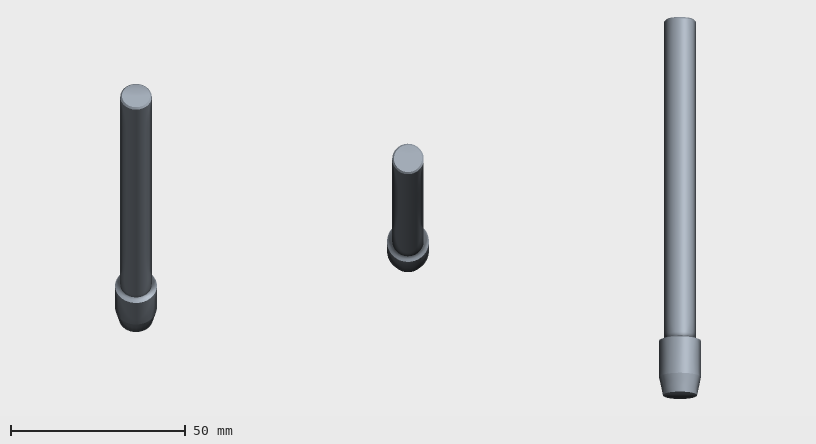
import cadquery as cq

total_length = 110.0

sleeve_diameter = 12.0
sleeve_length = 16.6
nose_tip_diameter = 9.8
nose_length = 5.3
shoulder_height = 0.7

rod_diameter = 9.0
rod_chamfer = 0.5
rod_length = total_length - sleeve_length


def make_sleeve():
    """Revolve the sleeve: nose at the bottom, straight collar, then the conical shoulder."""
    return (
        cq.Workplane("XZ")
        .moveTo(0, 0)
        .lineTo(nose_tip_diameter / 2, 0)
        .lineTo(sleeve_diameter / 2, nose_length)
        .lineTo(sleeve_diameter / 2, sleeve_length - shoulder_height)
        .lineTo(rod_diameter / 2, sleeve_length)
        .lineTo(0, sleeve_length)
        .close()
        .revolve(360, (0, 0), (0, 1))
    )


def make_rod():
    """Round rod on the sleeve's top face, chamfered at its free end."""
    return (
        cq.Workplane("XY", origin=(0, 0, sleeve_length))
        .circle(rod_diameter / 2)
        .extrude(rod_length)
        .faces(">Z")
        .edges()
        .chamfer(rod_chamfer)
    )


sleeve = make_sleeve()
rod = make_rod()

result = cq.Compound.makeCompound([sleeve.val(), rod.val()])